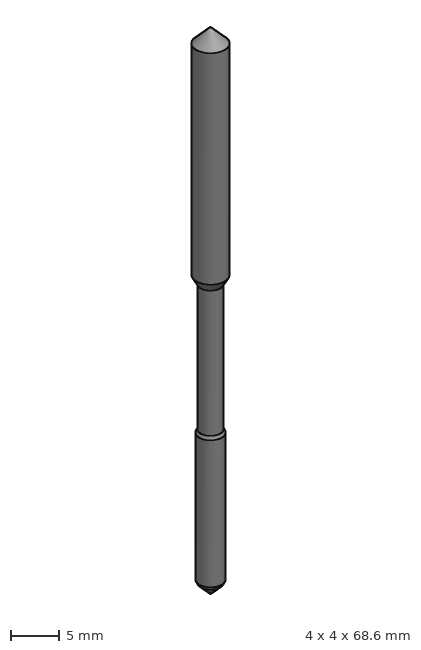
import cadquery as cq

total_length = 68.6
head_radius = 2.0
neck_radius = 1.4
tail_radius = 1.6

bevel_height = 0.4

point_top = neck_radius
tail_bottom = point_top + bevel_height
neck_bottom = 19.95
tail_top = neck_bottom - bevel_height
neck_top = 37.5
head_bottom = 38.6
head_top = total_length - head_radius

profile = [
    (0, 0),
    (neck_radius, point_top),
    (tail_radius, tail_bottom),
    (tail_radius, tail_top),
    (neck_radius, neck_bottom),
    (neck_radius, neck_top),
    (head_radius, head_bottom),
    (head_radius, head_top),
    (0, total_length),
]

result = cq.Workplane("XZ").polyline(profile).close().revolve(360, (0, 0, 0), (0, 1, 0))